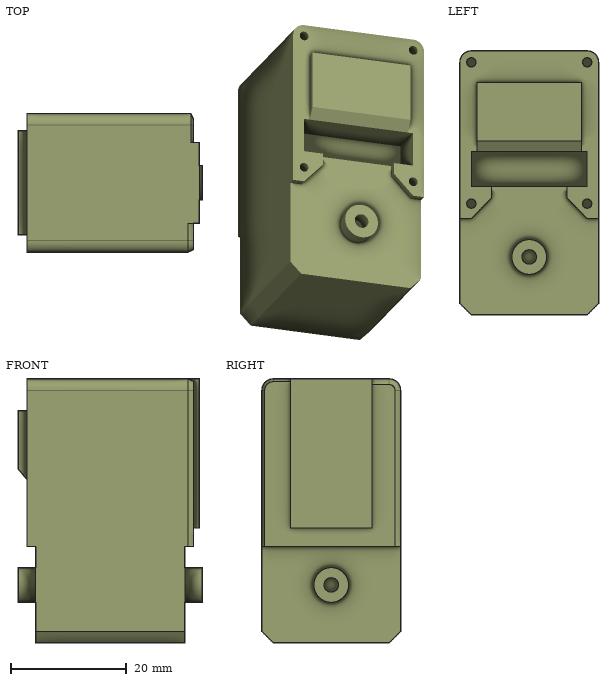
import cadquery as cq
import math

width = 24.0
lower_length = 25.8
upper_length = 28.8
shaft_to_bottom = 10.0
shaft_to_top = 35.6
shaft_to_step = 6.6
bottom_chamfer = 2.0
top_radius = 2.0

chamfer_long = 1.0
chamfer_short = 0.5

boss_diameter = 6.0
boss_length = 3.0
boss_bore = 2.5

rib_width = 14.0
rib_height = 1.0
rib_length = 25.8

plate_width = 18.0
plate_thickness = 1.5
plate_top_drop = 5.5
plate_slope_drop = 15.6
plate_bottom_drop = 17.4

pocket_width = 20.0
pocket_height = 6.0
pocket_depth = 6.5

notch_width = 13.0
notch_slope_drop = 25.4
notch_mouth_width = 20.0

screw_hole = 1.6
screw_hole_depth = 5.0
screw_spacing_y = 20.0
screw_drops = (2.0, 26.4)

lower_end = lower_length / 2
upper_end = upper_length / 2
pocket_bottom = shaft_to_top - plate_bottom_drop - pocket_height


def box(x_range, y_range, z_range):
    """Box spanning the given (low, high) ranges."""
    size = [high - low for low, high in (x_range, y_range, z_range)]
    corner = (x_range[0], y_range[0], z_range[0])
    return cq.Workplane("XY").box(*size, centered=False).translate(corner)


def centered_range(size):
    return (-size / 2, size / 2)


def make_lower_block():
    block = box(centered_range(lower_length), centered_range(width), (-shaft_to_bottom, shaft_to_step))
    return block.edges("|X and <Z").chamfer(bottom_chamfer)


def make_case_side(y_range, inset, setback):
    """One Y side of the motor case, chamfered by inset across and setback along X at its +X end."""
    overhang = top_radius + chamfer_long
    body = box((-upper_end, upper_end - setback), centered_range(width),
               (shaft_to_step - overhang, shaft_to_top))
    body = body.edges("|X and >Z").fillet(top_radius)
    taper = math.degrees(math.atan(inset / setback))
    cap = body.faces(">X").wires().toPending().workplane().extrude(setback, combine=False, taper=taper)
    keep = box(centered_range(upper_length), y_range, (shaft_to_step, shaft_to_top))
    return body.union(cap).intersect(keep)


def make_upper_case():
    front = make_case_side((-width / 2, 0), chamfer_short, chamfer_long)
    back = make_case_side((0, width / 2), chamfer_long, chamfer_short)
    return front.union(back)


def make_rib():
    return box((lower_end, upper_end + rib_height), centered_range(rib_width),
               (shaft_to_top - rib_length, shaft_to_top))


def make_plate():
    outer = -upper_end - plate_thickness
    top = shaft_to_top - plate_top_drop
    outline = [
        (-upper_end, top),
        (outer, top),
        (outer, shaft_to_top - plate_slope_drop),
        (-upper_end, shaft_to_top - plate_bottom_drop),
    ]
    return cq.Workplane("XZ").polyline(outline).close().extrude(plate_width / 2, both=True)


def make_pocket():
    return box((-upper_end, -upper_end + pocket_depth), centered_range(pocket_width),
               (pocket_bottom, pocket_bottom + pocket_height))


def make_notch():
    """Opening below the pocket, cut back to the face of the lower block."""
    slope_start = shaft_to_top - notch_slope_drop
    outline = [
        (-notch_width / 2, pocket_bottom),
        (-notch_width / 2, slope_start),
        (-notch_mouth_width / 2, shaft_to_step),
        (notch_mouth_width / 2, shaft_to_step),
        (notch_width / 2, slope_start),
        (notch_width / 2, pocket_bottom),
    ]
    plane = cq.Workplane("YZ", origin=(-upper_end, 0, 0))
    return plane.polyline(outline).close().extrude(upper_end - lower_end)


def make_bosses():
    length = lower_length + 2 * boss_length
    return cq.Workplane("YZ").circle(boss_diameter / 2).extrude(length / 2, both=True)


def make_boss_bores():
    outer = lower_end + boss_length
    left = cq.Workplane("YZ", origin=(-outer, 0, 0)).circle(boss_bore / 2).extrude(boss_length)
    right = left.mirror("YZ")
    return left.union(right)


def make_screw_holes():
    centers = [(side * screw_spacing_y / 2, shaft_to_top - drop) for side in (-1, 1) for drop in screw_drops]
    plane = cq.Workplane("YZ", origin=(-upper_end, 0, 0))
    return plane.pushPoints(centers).circle(screw_hole / 2).extrude(screw_hole_depth)


housing = make_upper_case().union(make_lower_block())
housing = housing.union(make_rib()).union(make_plate()).union(make_bosses())
housing = housing.cut(make_pocket()).cut(make_notch())
result = housing.cut(make_boss_bores()).cut(make_screw_holes())